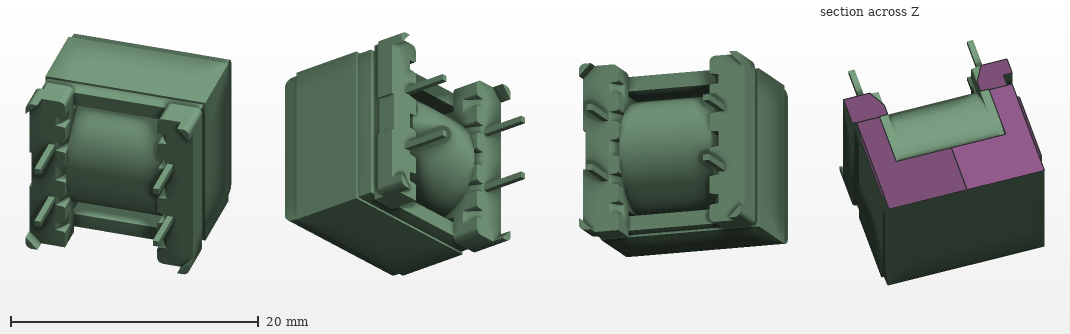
import cadquery as cq
import math


CORE_LENGTH = 13.16
CORE_DEPTH = 9.0
CORE_HEIGHT = 12.77
CORE_EDGE_RADIUS = 0.75
WINDOW_LENGTH = 9.2
WINDOW_RADIUS = 5.19
POST_RADIUS = 2.25
AXIS_Y = 2.54

TAPE_THICKNESS = 0.18
TAPE_START = 1.39
TAPE_WIDTH = 6.23

WINDING_RADIUS = 4.74
WINDING_LENGTH = 7.79

TUBE_WALL = 0.5
TUBE_RADIUS = POST_RADIUS + TUBE_WALL
RAIL_LENGTH = 13.8
RAIL_OUTER_X = 6.91
RAIL_INNER_X = WINDING_LENGTH / 2
RAIL_DEPTH = 2.48
RAIL_CORNER_RADIUS = 0.51
STEP_X = 6.15
STEP_DEPTH = 0.98
NOTCH_LENGTH = 3.23
NOTCH_DEPTH = 0.2
FOOT_LEG = 1.02
FOOT_FRONT = 3.5

SLOT_REACH = 0.78
SLOT_MOUTH_RADIUS = 0.18
SLOT_FLARE = 0.06
OUTER_SLOT_Z = 4.99
INNER_SLOT_Z = 2.6
SIDE_SLOT_HALF_WIDTH = 0.38
MIDDLE_SLOT_HALF_WIDTH = 0.62
OUTER_SLOT_DEPTH = RAIL_DEPTH - STEP_DEPTH
INNER_SLOT_DEPTH = 2.0
SLOTS = [
    (-OUTER_SLOT_Z, SIDE_SLOT_HALF_WIDTH, OUTER_SLOT_DEPTH),
    (-INNER_SLOT_Z, SIDE_SLOT_HALF_WIDTH, INNER_SLOT_DEPTH),
    (0, MIDDLE_SLOT_HALF_WIDTH, INNER_SLOT_DEPTH),
    (INNER_SLOT_Z, SIDE_SLOT_HALF_WIDTH, INNER_SLOT_DEPTH),
    (OUTER_SLOT_Z, SIDE_SLOT_HALF_WIDTH, OUTER_SLOT_DEPTH),
]

PIN_SIZE = 0.5
PIN_X = 5.0
PIN_Z = 2.5
PIN_FRONT = 6.39

LEFT = -1
RIGHT = 1


def span_box(x_start, x_end, y_start, y_end, z_start, z_end):
    """Box between pairs of opposite corner coordinates, given in any order."""
    return (
        cq.Workplane("XY")
        .box(abs(x_end - x_start), abs(y_end - y_start), abs(z_end - z_start))
        .translate(((x_start + x_end) / 2, (y_start + y_end) / 2, (z_start + z_end) / 2))
    )


def axis_cylinder(radius, x_start, x_end):
    """Cylinder along X on the post axis."""
    return (
        cq.Workplane("YZ", origin=(x_start, 0, 0))
        .center(AXIS_Y, 0)
        .circle(radius)
        .extrude(x_end - x_start)
    )


def front_opening_disc(radius, x_start, x_end):
    """Round-backed plate along X whose full width runs straight to the front of the core."""
    straight = span_box(x_start, x_end, 0, AXIS_Y, -radius, radius)
    front_limit = span_box(x_start, x_end, 0, CORE_DEPTH, -radius, radius)
    return axis_cylinder(radius, x_start, x_end).intersect(front_limit).union(straight)


def make_core_half(side):
    half_height = CORE_HEIGHT / 2
    block = span_box(-CORE_LENGTH / 2, CORE_LENGTH / 2, 0, CORE_DEPTH, -half_height, half_height)
    block = block.edges("|X and >Y").fillet(CORE_EDGE_RADIUS)
    window = front_opening_disc(WINDOW_RADIUS, -WINDOW_LENGTH / 2, WINDOW_LENGTH / 2)
    post = axis_cylinder(POST_RADIUS, -WINDOW_LENGTH / 2, WINDOW_LENGTH / 2)
    side_space = span_box(0, side * CORE_LENGTH, 0, CORE_DEPTH, -CORE_HEIGHT, CORE_HEIGHT)
    return block.cut(window).union(post).intersect(side_space)


def make_tape():
    return (
        cq.Workplane("XZ", origin=(0, TAPE_START, 0))
        .rect(CORE_LENGTH + 2 * TAPE_THICKNESS, CORE_HEIGHT + 2 * TAPE_THICKNESS)
        .rect(CORE_LENGTH, CORE_HEIGHT)
        .extrude(-TAPE_WIDTH)
    )


def make_winding():
    coil = axis_cylinder(WINDING_RADIUS, -WINDING_LENGTH / 2, WINDING_LENGTH / 2)
    return coil.cut(axis_cylinder(TUBE_RADIUS, -WINDING_LENGTH / 2, WINDING_LENGTH / 2))


def make_slot(side, slot_z, half_width, depth):
    """Cutter for one wire slot: a flared outline limited by a floor that slopes up to the rail front."""
    floor_x = side * (RAIL_INNER_X + SLOT_REACH)
    flare_x = side * (RAIL_INNER_X + SLOT_MOUTH_RADIUS)
    mouth_x = side * RAIL_INNER_X
    neck = half_width + SLOT_FLARE
    mouth = neck + SLOT_MOUTH_RADIUS
    arc_inset = SLOT_MOUTH_RADIUS * (1 - math.sqrt(0.5))
    arc_x = side * (RAIL_INNER_X + arc_inset)
    outline = (
        cq.Workplane("XZ")
        .moveTo(floor_x, slot_z - half_width)
        .lineTo(flare_x, slot_z - neck)
        .threePointArc((arc_x, slot_z - neck - arc_inset), (mouth_x, slot_z - mouth))
        .lineTo(mouth_x, slot_z + mouth)
        .threePointArc((arc_x, slot_z + neck + arc_inset), (flare_x, slot_z + neck))
        .lineTo(floor_x, slot_z + half_width)
        .close()
        .extrude(RAIL_DEPTH)
    )
    wedge = (
        cq.Workplane("XY", origin=(0, 0, slot_z - mouth))
        .polyline([(mouth_x, -RAIL_DEPTH), (floor_x, -RAIL_DEPTH), (mouth_x, depth - RAIL_DEPTH)])
        .close()
        .extrude(2 * mouth)
    )
    return outline.intersect(wedge)


def make_foot_clearance(side):
    """Space in front of a rail, leaving a triangular foot in each outer corner."""
    half_length = RAIL_LENGTH / 2
    outer_x = side * RAIL_OUTER_X
    foot_x = outer_x - side * FOOT_LEG
    inner_x = side * RAIL_INNER_X
    return (
        cq.Workplane("XZ", origin=(0, -RAIL_DEPTH, 0))
        .polyline([
            (inner_x, -half_length),
            (foot_x, -half_length),
            (outer_x, FOOT_LEG - half_length),
            (outer_x, half_length - FOOT_LEG),
            (foot_x, half_length),
            (inner_x, half_length),
        ])
        .close()
        .extrude(FOOT_FRONT - RAIL_DEPTH)
    )


def make_rail(side):
    half_length = RAIL_LENGTH / 2
    rail = span_box(
        side * RAIL_INNER_X, side * RAIL_OUTER_X,
        -FOOT_FRONT, 0,
        -half_length, half_length,
    )
    if side == RIGHT:
        rail = rail.edges("|Y").fillet(RAIL_CORNER_RADIUS)
    else:
        rail = rail.edges("|Y and (<X or >Z)").fillet(RAIL_CORNER_RADIUS)
    rail = rail.cut(make_foot_clearance(side))
    for slot_z, half_width, depth in SLOTS:
        rail = rail.cut(make_slot(side, slot_z, half_width, depth))
    return rail


def make_left_rail():
    """Left rail with a notch in its outer face, which is set back where the rail meets the core."""
    half_length = RAIL_LENGTH / 2
    step = span_box(-RAIL_OUTER_X, -STEP_X, -STEP_DEPTH, 0, -half_length, half_length)
    notch = span_box(
        -RAIL_OUTER_X, NOTCH_DEPTH - RAIL_OUTER_X,
        -RAIL_DEPTH, 0,
        -NOTCH_LENGTH / 2, NOTCH_LENGTH / 2,
    )
    return make_rail(LEFT).cut(step).cut(notch)


def make_pins():
    """Four pins standing on the fronts of the rails, part of the bobbin."""
    return (
        cq.Workplane("XZ", origin=(0, -RAIL_DEPTH, 0))
        .rect(2 * PIN_X, 2 * PIN_Z, forConstruction=True)
        .vertices()
        .rect(PIN_SIZE, PIN_SIZE)
        .extrude(PIN_FRONT - RAIL_DEPTH)
    )


def make_bobbin():
    half_window = WINDOW_LENGTH / 2
    bobbin = axis_cylinder(TUBE_RADIUS, -half_window, half_window)
    for flange_start in (-half_window, RAIL_INNER_X):
        flange_end = flange_start + half_window - RAIL_INNER_X
        bobbin = bobbin.union(front_opening_disc(WINDING_RADIUS, flange_start, flange_end))
    bobbin = bobbin.cut(axis_cylinder(POST_RADIUS, -half_window, half_window))
    return bobbin.union(make_left_rail()).union(make_rail(RIGHT)).union(make_pins())


core_halves = [make_core_half(side).val() for side in (LEFT, RIGHT)]
tape = make_tape()
winding = make_winding()
bobbin = make_bobbin()

result = cq.Compound.makeCompound([*core_halves, tape.val(), winding.val(), bobbin.val()])